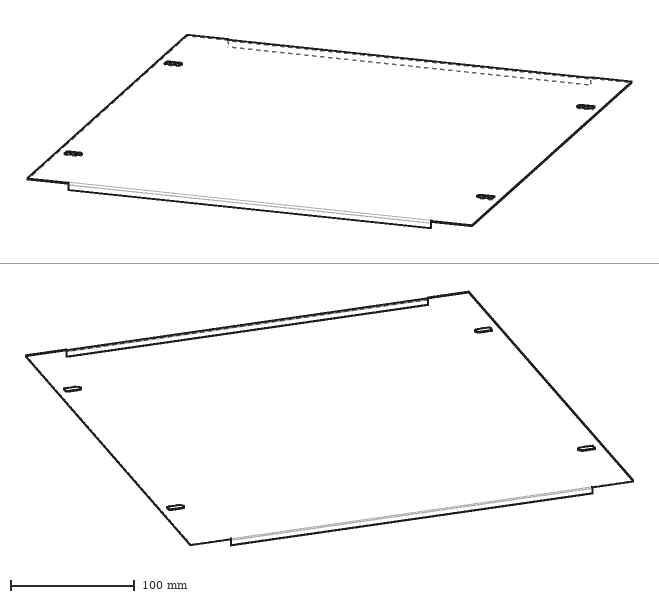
import cadquery as cq

width = 380.0
depth = 399.0
height = 6.5
thickness = 1.0

flange_length = 309.5
bend_inner_radius = 0.8
bend_outer_radius = bend_inner_radius + thickness

slot_length = 14.0
slot_width = 7.0
slot_corner_radius = 1.0
slot_edge_distance = 7.0
slot_spacing_y = 249.8


def make_folded_sheet():
    """Extrude the U-shaped section of the panel and its two flanges."""
    outer = (
        cq.Workplane("XY")
        .box(flange_length, depth, height, centered=(True, True, False))
        .edges("|X and >Z")
        .fillet(bend_outer_radius)
    )
    inner = (
        cq.Workplane("XY")
        .box(
            flange_length,
            depth - 2 * thickness,
            height - thickness,
            centered=(True, True, False),
        )
        .edges("|X and >Z")
        .fillet(bend_inner_radius)
    )
    return outer.cut(inner)


def make_side_strip(side):
    """Flat strip beyond the flange ends, reaching the full panel depth."""
    strip_width = (width - flange_length) / 2
    strip_center = side * (flange_length + strip_width) / 2
    strip_plane = cq.Workplane("XY", origin=(strip_center, 0, height - thickness))
    return strip_plane.box(strip_width, depth, thickness, centered=(True, True, False))


def make_slot(side, slot_y):
    """Cutter with a softened square end toward the panel edge and a round inner end."""
    radius = slot_width / 2
    outer_x = side * (width / 2 - slot_edge_distance)
    arc_start_x = outer_x - side * (slot_length - radius)
    tip_x = outer_x - side * slot_length
    blank = (
        cq.Workplane("XY")
        .moveTo(outer_x, slot_y - radius)
        .lineTo(arc_start_x, slot_y - radius)
        .threePointArc((tip_x, slot_y), (arc_start_x, slot_y + radius))
        .lineTo(outer_x, slot_y + radius)
        .close()
        .extrude(height)
    )
    outer_corners = blank.edges("|Z").edges(">X" if side > 0 else "<X")
    return outer_corners.fillet(slot_corner_radius)


panel = make_folded_sheet()
for side in (-1, 1):
    panel = panel.union(make_side_strip(side))
    for slot_y in (-slot_spacing_y / 2, slot_spacing_y / 2):
        panel = panel.cut(make_slot(side, slot_y))

result = panel